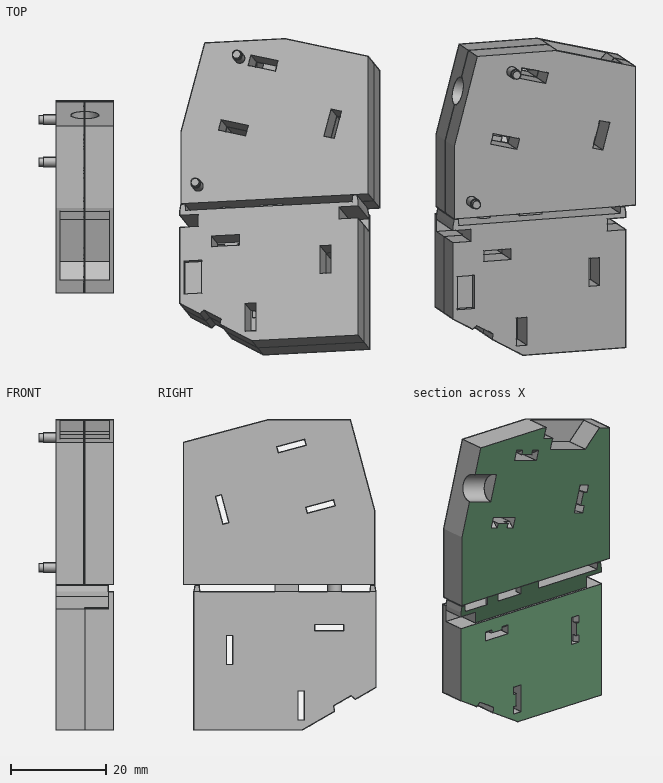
import cadquery as cq
import math


thickness = 12.1
parting_x = thickness / 2
total_height = 65.1
total_depth = 40.36
tilt = 15.0
tilt_tan = math.tan(math.radians(tilt))

upper_depth = 40.1
upper_bottom = 30.5
top_front_y = 17.8
top_back_y = 35.0
upper_gap = 0.2
front_corner_z = total_height - top_front_y * tilt_tan
back_corner_z = total_height - (upper_depth - top_back_y) / tilt_tan

recess_wall = 0.87
recess_start = 0.7
recess_step_length = 2.45
recess_step_depth = 2.37
recess_depth = 2 * recess_step_depth
recess_end_y = 2.75
recess_end_angle = 45.0

cable_hole_diameter = 5.86
cable_hole_depth = 6.0
cable_hole_y = 37.3

pin_diameter = 2.1
pin_tip_diameter = 1.75
pin_length = 2.6
pin_tip_length = 1.0
pin_centres = [(27.45, 61.3), (36.35, 34.05)]

window_length = 6.0
window_width = 2.3
ledge_depth = 1.05
ledge_centre_length = 2.9
ledge_ramp_slope = 1.5
ramp_root_upper = 0.05
ramp_root_lower = 0.35

upper_windows = [(22.5, 60.05, tilt), (28.85, 46.35, 180 + tilt), (7.6, 46.1, 90 + tilt)]
lower_windows = [(30.55, 22.0, 0), (9.15, 16.8, 90), (25.2, 5.15, -90)]

lower_front_y = 2.15
lower_top = 29.0
outer_wall = 1.1
tongue_x = thickness - outer_wall
tongue_clearance = 0.2
foot_angle = 30.0
foot_toe_y = 24.9
foot_back_z = (total_depth - foot_toe_y) * math.tan(math.radians(foot_angle))

rail_groove_start = 5.0
rail_groove_opening = 5.0
rail_groove_depth = 1.1
rail_groove_taper = 0.4

front_notch_depth = 4.1
back_notch_depth = 3.95
notch_bottom = 25.4
notch_top = 28.0

rib_clearance = 0.15
rib_top = upper_bottom - rib_clearance
rib_top_width = 0.9
rib_inset = 0.25
rib_base_width = 1.3

label_pocket_y = 35.67
label_pocket_z = 10.9
label_pocket_width = 3.75
label_pocket_height = 7.14
label_pocket_depth = 1.2

peg_diameter = 3.0
peg_y = 31.65
key_width = 5.0
key_thickness = 3.0
key_y = 21.65


def prism(points, x_start, x_end):
    """Extrude a Y-Z outline between two X positions."""
    return cq.Workplane("YZ", origin=(x_start, 0, 0)).polyline(points).close().extrude(x_end - x_start)


def block(x_range, y_range, z_range):
    size = [high - low for low, high in (x_range, y_range, z_range)]
    corner = (x_range[0], y_range[0], z_range[0])
    return cq.Workplane("XY").box(*size, centered=False).translate(corner)


def place(shape, window):
    """Turn a shape about X and move it to a window's centre."""
    y, z, angle = window
    return shape.rotate((0, 0, 0), (1, 0, 0), angle).translate((0, y, z))


def window_cutter(window):
    half_length, half_width = window_length / 2, window_width / 2
    cutter = block((0, thickness), (-half_length, half_length), (-half_width, half_width))
    return place(cutter, window)


def window_ledge(window, ramp_root):
    """Ledge along one side of a window: a flat centre with a ramp at each end."""
    side = window_width / 2
    edge = side - ledge_depth
    half_length = window_length / 2
    half_centre = ledge_centre_length / 2
    centre = block((parting_x, thickness), (-half_centre, half_centre), (edge, side))
    ramp_run = ledge_ramp_slope * (ledge_depth - ramp_root)
    ramp_outline = [
        (parting_x, side),
        (parting_x, side - ramp_root),
        (parting_x + ramp_run, edge),
        (thickness, edge),
        (thickness, side),
    ]
    ramps = (
        cq.Workplane("XZ", origin=(0, half_length, 0))
        .polyline(ramp_outline)
        .close()
        .extrude(window_length)
    )
    return place(centre.union(ramps), window)


def with_windows(half, windows):
    for window in windows:
        half = half.cut(window_cutter(window))
    return half


def with_ledges(half, windows, ramp_root):
    for window in windows:
        half = half.union(window_ledge(window, ramp_root))
    return half


def upper_blank(x_start, x_end):
    outline = [
        (0, upper_bottom),
        (upper_depth, upper_bottom),
        (upper_depth, back_corner_z),
        (top_back_y, total_height),
        (top_front_y, total_height),
        (0, front_corner_z),
    ]
    return prism(outline, x_start, x_end)


def slope_point(along, depth):
    """Point below the front slope, measured along it from its top edge and square to it."""
    sine, cosine = math.sin(math.radians(tilt)), math.cos(math.radians(tilt))
    y = top_front_y - along * cosine + depth * sine
    z = total_height - along * sine - depth * cosine
    return y, z


def recess_cutter():
    step_end = recess_start + recess_step_length
    end_y, end_z = recess_end_y, front_corner_z + recess_end_y * tilt_tan
    end_tan = math.tan(math.radians(recess_end_angle))
    vertical_depth = recess_depth / math.cos(math.radians(tilt))
    floor_run = vertical_depth / (end_tan + tilt_tan)
    outline = [
        slope_point(recess_start, 0),
        slope_point(recess_start, recess_step_depth),
        slope_point(step_end, recess_step_depth),
        slope_point(step_end, recess_depth),
        (end_y + floor_run, end_z - floor_run * end_tan),
        (end_y, end_z),
    ]
    return prism(outline, recess_wall, thickness - recess_wall)


def cable_hole_cutter():
    hole_z = back_corner_z + (upper_depth - cable_hole_y) / tilt_tan
    inward = cq.Vector(0, -math.cos(math.radians(tilt)), -math.sin(math.radians(tilt)))
    centre = cq.Vector(parting_x, cable_hole_y, hole_z)
    return cq.Workplane(cq.Solid.makeCylinder(cable_hole_diameter / 2, cable_hole_depth, centre, inward))


def side_pin(y, z):
    face = cq.Workplane("YZ").center(y, z)
    shank = face.circle(pin_diameter / 2).extrude(-pin_length)
    tip = face.circle(pin_tip_diameter / 2).extrude(-(pin_length + pin_tip_length))
    return shank.union(tip)


def upper_half(x_start, x_end):
    half = upper_blank(x_start, x_end).cut(recess_cutter()).cut(cable_hole_cutter())
    return with_windows(half, upper_windows)


def make_upper_left():
    half = upper_half(0, parting_x - upper_gap)
    for y, z in pin_centres:
        half = half.union(side_pin(y, z))
    return half


def make_upper_right():
    return with_ledges(upper_half(parting_x, thickness), upper_windows, ramp_root_upper)


def foot_point(along, depth):
    """Point inside the foot slope, measured along it from the back corner and square to it."""
    sine, cosine = math.sin(math.radians(foot_angle)), math.cos(math.radians(foot_angle))
    y = total_depth - along * cosine - depth * sine
    z = foot_back_z - along * sine + depth * cosine
    return y, z


def lower_blank(x_start, x_end):
    groove_end = rail_groove_start + rail_groove_opening
    outline = [
        (lower_front_y, 0),
        (lower_front_y, lower_top),
        (total_depth, lower_top),
        (total_depth, foot_back_z),
        foot_point(rail_groove_start, 0),
        foot_point(rail_groove_start + rail_groove_taper, rail_groove_depth),
        foot_point(groove_end - rail_groove_taper, rail_groove_depth),
        foot_point(groove_end, 0),
        (foot_toe_y, 0),
    ]
    return prism(outline, x_start, x_end)


def tongue():
    """Upper strip of the left half that reaches over the right half."""
    y_range = (lower_front_y, total_depth)
    return block((parting_x, tongue_x), y_range, (notch_bottom + tongue_clearance, lower_top))


def edge_notches():
    z_range = (notch_bottom, notch_top)
    front = block((0, tongue_x), (lower_front_y, lower_front_y + front_notch_depth), z_range)
    back = block((0, tongue_x), (total_depth - back_notch_depth, total_depth), z_range)
    return front.union(back)


def edge_rib(edge_y, inward):
    """Rib standing on the top edge at edge_y; inward is +1 or -1 along Y."""
    outline = [
        (edge_y, lower_top),
        (edge_y + inward * rib_inset, rib_top),
        (edge_y + inward * (rib_inset + rib_top_width), rib_top),
        (edge_y + inward * rib_base_width, lower_top),
    ]
    return prism(outline, 0, tongue_x)


def label_pocket():
    return block(
        (0, label_pocket_depth),
        (label_pocket_y, label_pocket_y + label_pocket_width),
        (label_pocket_z, label_pocket_z + label_pocket_height),
    )


def coupling_posts():
    """Round peg and flat key that bridge the gap up to the upper housing."""
    top_face = cq.Workplane("XY", origin=(0, 0, lower_top))
    height = upper_bottom - lower_top
    peg = top_face.center(parting_x, peg_y).circle(peg_diameter / 2).extrude(height)
    key = top_face.center(parting_x, key_y).rect(key_thickness, key_width).extrude(height)
    return peg.union(key)


def make_lower_left():
    half = lower_blank(0, parting_x).union(tongue()).cut(edge_notches()).cut(label_pocket())
    half = half.union(edge_rib(lower_front_y, 1)).union(edge_rib(total_depth, -1))
    return with_windows(half.union(coupling_posts()), lower_windows)


def make_lower_right():
    y_range = (lower_front_y, total_depth)
    tongue_seat = block((parting_x, tongue_x), y_range, (notch_bottom, lower_top))
    half = lower_blank(parting_x, thickness).cut(tongue_seat)
    return with_ledges(with_windows(half, lower_windows), lower_windows, ramp_root_lower)


upper_left = make_upper_left()
upper_right = make_upper_right()
lower_left = make_lower_left()
lower_right = make_lower_right()

result = cq.Compound.makeCompound([
    upper_left.val(),
    upper_right.val(),
    lower_left.val(),
    lower_right.val(),
])